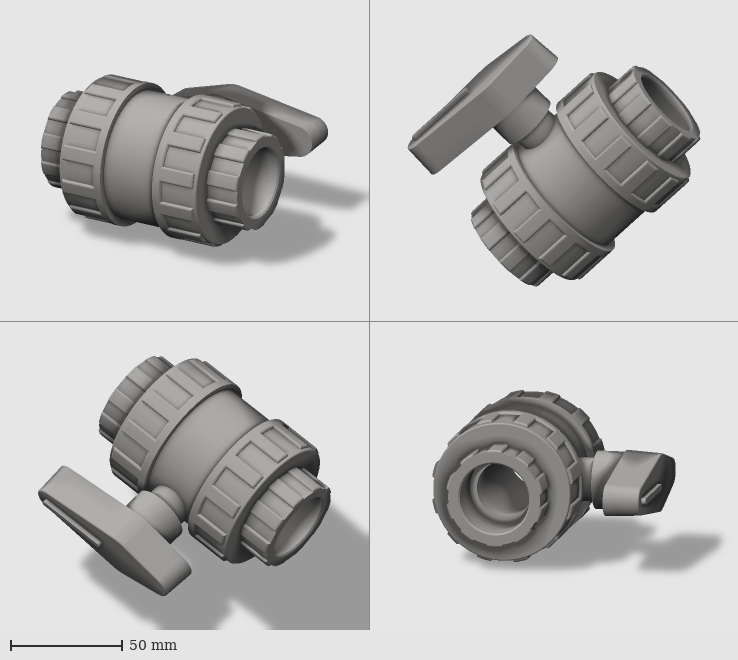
import cadquery as cq
import math

valve_length = 102.0
half_length = valve_length / 2
body_diameter = 59.4
bore_diameter = 25.6

socket_diameter = 32.0
socket_depth = 22.0
socket_chamfer = 0.7
stub_diameter = 42.4
stub_lug_diameter = 44.9
stub_lug_count = 10

nut_inner_x = 13.5
nut_outer_x = 35.6
nut_diameter = 63.3
nut_edge_fillet = 0.7
grip_diameter = 66.0
grip_ring_width = 4.2
grip_end_x = 34.0
grip_count = 12

lug_width = 7.0
lug_fillet = 1.0
embed = 1.0
tolerance = 0.001

stem_diameter = 19.8
collar_diameter = 26.4
collar_start_y = 36.3

handle_bottom_y = 49.5
handle_top_y = 65.9
handle_hub_radius = 14.1
handle_tip_radius = 7.3
handle_left_x = -23.5
handle_right_x = 41.5
handle_draft = 3.0
handle_edge_fillet = 0.7

overall_depth = 101.0
rib_top_y = overall_depth - grip_diameter / 2
rib_width = 2.9
rib_left_x = 8.8
rib_right_x = 43.0


def cylinder_x(diameter, start_x, end_x):
    """Cylinder about the X axis between two stations."""
    return cq.Workplane("YZ", origin=(start_x, 0, 0)).circle(diameter / 2).extrude(end_x - start_x)


def stem_plane(y):
    """Workplane square to the stem at height y, facing +Y."""
    return cq.Workplane(cq.Plane(origin=(0, y, 0), xDir=(1, 0, 0), normal=(0, 1, 0)))


def cylinder_y(diameter, start_y, end_y):
    """Cylinder about the Y axis between two stations."""
    return stem_plane(start_y).circle(diameter / 2).extrude(end_y - start_y)


def radial_bars(count, first_angle, start_x, end_x, reach):
    """Evenly spaced bars of lug width that run along X and reach out from the axis."""
    bar = cq.Workplane("XY").box(
        end_x - start_x, lug_width, reach, centered=(False, True, False)
    ).translate((start_x, 0, 0))
    bars = cq.Workplane("XY")
    for index in range(count):
        angle = first_angle + index * 360 / count
        bars = bars.add(bar.rotate((0, 0, 0), (1, 0, 0), angle))
    return bars.combine()


def round_outer_edges(solid, diameter, kept_x):
    """Round the edges of the outer cylindrical faces, except those lying at station kept_x."""
    def on_rim(edge):
        points = [edge.positionAt(t) for t in (0, 0.5, 1)]
        at_radius = all(abs(math.hypot(p.y, p.z) - diameter / 2) < tolerance for p in points)
        return at_radius and any(abs(p.x - kept_x) > tolerance for p in points)

    rim = [edge for edge in solid.edges().vals() if on_rim(edge)]
    return solid.newObject(rim).fillet(lug_fillet)


def make_nut():
    """Union nut on the +X side: plain core, grip ring and grips."""
    core = cylinder_x(nut_diameter, nut_inner_x, nut_outer_x).faces(">X").edges().fillet(nut_edge_fillet)
    ring_end_x = nut_inner_x + grip_ring_width
    sleeve = cylinder_x(grip_diameter, nut_inner_x, grip_end_x)
    bars = radial_bars(grip_count, 180 / grip_count, nut_inner_x, grip_end_x, grip_diameter)
    crown = sleeve.intersect(bars).union(cylinder_x(grip_diameter, nut_inner_x, ring_end_x))
    crown = crown.cut(cylinder_x(nut_diameter - 2 * embed, nut_inner_x, grip_end_x))
    crown = round_outer_edges(crown, grip_diameter, nut_inner_x)
    return core.union(crown)


def make_stub():
    """Lugged socket stub on the +X side."""
    core = cylinder_x(stub_diameter, nut_inner_x, half_length)
    bars = radial_bars(stub_lug_count, 0, nut_inner_x, half_length, stub_lug_diameter)
    lugs = cylinder_x(stub_lug_diameter, nut_inner_x, half_length).intersect(bars)
    lugs = lugs.cut(cylinder_x(stub_diameter - 2 * embed, nut_inner_x, half_length))
    lugs = round_outer_edges(lugs, stub_lug_diameter, nut_inner_x)
    return core.union(lugs)


def make_socket():
    """Cutter for the pipe socket on the +X side, with its chamfered mouth."""
    socket = cylinder_x(socket_diameter, half_length - socket_depth, half_length)
    mouth = cq.Workplane("YZ", origin=(half_length, 0, 0)).circle(socket_diameter / 2 + socket_chamfer)
    return socket.union(mouth.extrude(-socket_chamfer, taper=45))


def tangent_points(tip_x, side):
    """Points where a straight flank leaves the hub and meets the tip; side is -1 left, +1 right."""
    lean = math.asin((handle_hub_radius - handle_tip_radius) / abs(tip_x))
    direction = (side * math.sin(lean), math.cos(lean))
    hub_point = (handle_hub_radius * direction[0], handle_hub_radius * direction[1])
    tip_point = (tip_x + handle_tip_radius * direction[0], handle_tip_radius * direction[1])
    return hub_point, tip_point


def mirrored(point):
    """Point mirrored across the long axis of the handle."""
    return point[0], -point[1]


def make_handle():
    """Drafted lever: three arcs joined by tangent flanks, wide at the hub."""
    hub_left, tip_left = tangent_points(handle_left_x, -1)
    hub_right, tip_right = tangent_points(handle_right_x, 1)
    lever = (
        stem_plane(handle_bottom_y)
        .moveTo(*tip_left)
        .lineTo(*hub_left)
        .threePointArc((0, handle_hub_radius), hub_right)
        .lineTo(*tip_right)
        .threePointArc((handle_right_x + handle_tip_radius, 0), mirrored(tip_right))
        .lineTo(*mirrored(hub_right))
        .threePointArc((0, -handle_hub_radius), mirrored(hub_left))
        .lineTo(*mirrored(tip_left))
        .threePointArc((handle_left_x - handle_tip_radius, 0), tip_left)
        .close()
        .extrude(handle_top_y - handle_bottom_y, taper=handle_draft)
    )
    lever = lever.faces(">Y").edges().fillet(handle_edge_fillet)
    return lever


def make_rib():
    """Round-ended marker rib, running through the handle and standing proud of its top."""
    return (
        stem_plane(handle_bottom_y)
        .center((rib_left_x + rib_right_x) / 2, 0)
        .slot2D(rib_right_x - rib_left_x, rib_width)
        .extrude(rib_top_y - handle_bottom_y)
    )


body = cylinder_x(body_diameter, -nut_inner_x, nut_inner_x)
end_fitting = make_nut().union(make_stub()).cut(make_socket())
body = body.union(end_fitting).union(end_fitting.mirror("YZ"))
body = body.union(cylinder_y(stem_diameter, 0, collar_start_y))
body = body.cut(cylinder_x(bore_diameter, -half_length, half_length))
body = body.union(cylinder_y(collar_diameter, collar_start_y, handle_bottom_y))
result = body.union(make_handle()).union(make_rib())